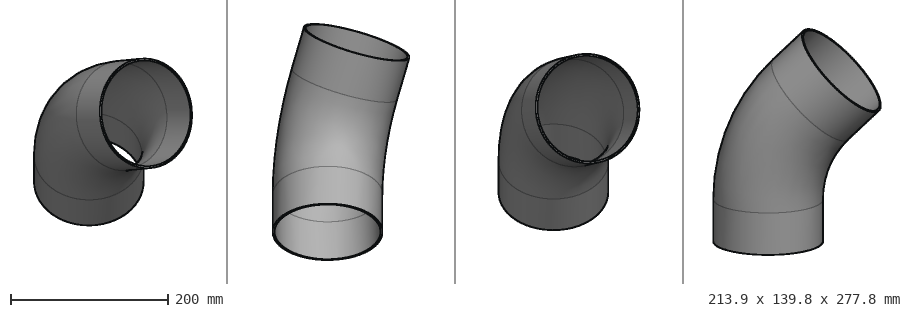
import cadquery as cq
import math

outer_diameter = 139.8
inner_diameter = 134.5
end_length = 55.5
bend_radius = 189.0
bend_angle = 45.0

angle = math.radians(bend_angle)


def point_on_bend(turn):
    """Centreline point (X, Z) after turning through an angle in radians."""
    x = bend_radius * (1 - math.cos(turn))
    z = end_length + bend_radius * math.sin(turn)
    return (x, z)


bend_end = point_on_bend(angle)
upper_end = (
    bend_end[0] + end_length * math.sin(angle),
    bend_end[1] + end_length * math.cos(angle),
)
centreline = (
    cq.Workplane("XZ")
    .lineTo(*point_on_bend(0))
    .threePointArc(point_on_bend(angle / 2), bend_end)
    .lineTo(*upper_end)
)

result = (
    cq.Workplane("XY")
    .circle(outer_diameter / 2)
    .circle(inner_diameter / 2)
    .sweep(centreline)
)